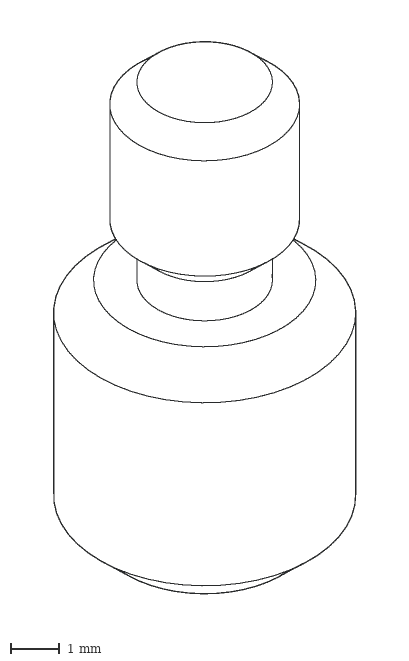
import cadquery as cq

total_height = 11.43
body_diameter = 6.22
body_height = 6.34
body_chamfer = 0.82
neck_diameter = 2.79
neck_height = 1.01
head_diameter = 3.91

head_chamfer = (head_diameter - neck_diameter) / 2
head_base = body_height + neck_height
head_height = total_height - head_base


def chamfered_cylinder(diameter, height, chamfer, base):
    """Upright cylinder standing at height base, with both rims chamfered."""
    return (
        cq.Workplane("XY")
        .workplane(offset=base)
        .circle(diameter / 2)
        .extrude(height)
        .edges("%CIRCLE")
        .chamfer(chamfer)
    )


body = chamfered_cylinder(body_diameter, body_height, body_chamfer, 0)
head = chamfered_cylinder(head_diameter, head_height, head_chamfer, head_base)

neck = (
    cq.Workplane("XY")
    .workplane(offset=body_height)
    .circle(neck_diameter / 2)
    .extrude(neck_height)
)

result = body.union(neck).union(head)